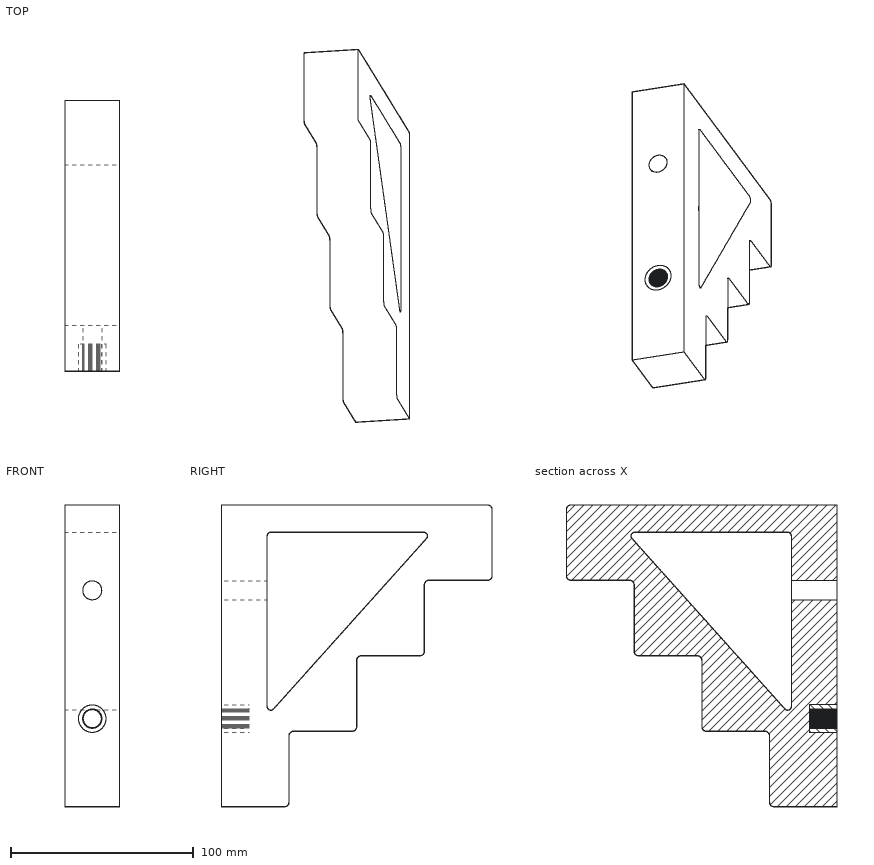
import cadquery as cq

width = 30.0
depth = 148.0
height = 165.0
step_count = 4
step_depth = depth / step_count
step_height = height / step_count
corner_radius = 2.5

front_wall = 25.0
top_wall = 15.0
window_height = 100.3
window_depth = window_height * step_depth / step_height
window_radius = 2.0

bolt_hole_diameter = 10.4
bolt_hole_z = 118.3
insert_z = 48.2

insert_diameter = 15.0
insert_length = 15.0
bore_diameter = 9.9
thread_diameter = 10.5
thread_pitch = 0.8
groove_width = thread_pitch / 2


def front_cylinder(diameter, z, start, length):
    """Cylinder along +Y, starting at the given distance behind the front face."""
    plane = cq.Plane(origin=(0, start, z), xDir=(1, 0, 0), normal=(0, 1, 0))
    return cq.Workplane(plane).circle(diameter / 2).extrude(length)


def side_prism(points):
    """Prism across the full width, from a (y, z) outline."""
    return cq.Workplane("YZ").polyline(points).close().extrude(width / 2, both=True)


def make_stepped_block():
    outline = [(0, 0), (0, height), (depth, height)]
    for step in range(step_count, 0, -1):
        tread_z = height - (step_count - step + 1) * step_height
        outline.append((step * step_depth, tread_z))
        if step > 1:
            outline.append(((step - 1) * step_depth, tread_z))
    block = side_prism(outline)
    off_front = cq.selectors.BoxSelector(
        (-width, corner_radius, -height), (width, 2 * depth, 2 * height)
    )
    return block.edges("|X").edges(off_front).fillet(corner_radius)


def make_window():
    top = height - top_wall
    corners = [
        (front_wall, top),
        (front_wall + window_depth, top),
        (front_wall, top - window_height),
    ]
    return side_prism(corners).edges("|X").fillet(window_radius)


def make_bracket():
    bolt_hole = front_cylinder(bolt_hole_diameter, bolt_hole_z, 0, front_wall)
    insert_pocket = front_cylinder(insert_diameter, insert_z, 0, insert_length)
    return make_stepped_block().cut(make_window()).cut(bolt_hole).cut(insert_pocket)


def make_threaded_insert():
    insert = front_cylinder(insert_diameter, insert_z, 0, insert_length)
    insert = insert.cut(front_cylinder(bore_diameter, insert_z, 0, insert_length))
    groove_count = int(insert_length / thread_pitch)
    for index in range(groove_count):
        start = index * thread_pitch + groove_width / 2
        insert = insert.cut(front_cylinder(thread_diameter, insert_z, start, groove_width))
    return insert


bracket = make_bracket()
threaded_insert = make_threaded_insert()

result = cq.Compound.makeCompound([bracket.val(), threaded_insert.val()])